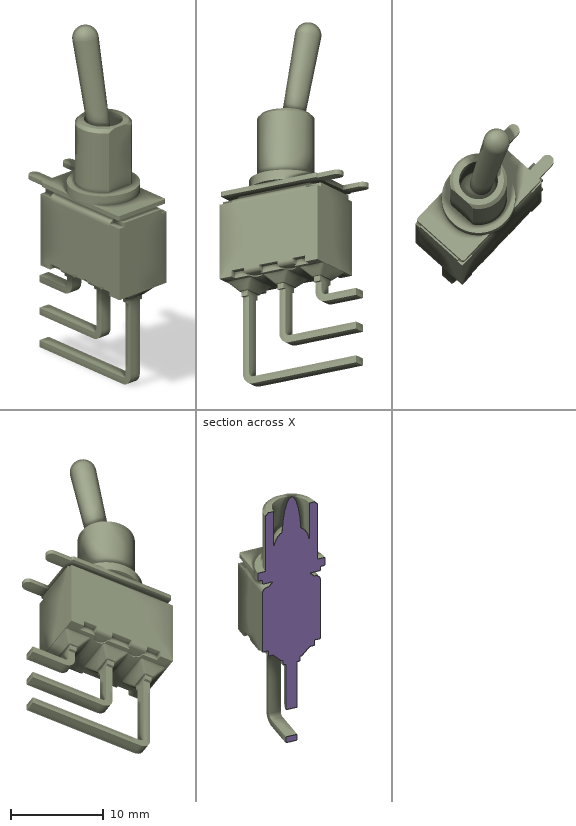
import cadquery as cq
import math


body_length = 12.65
body_width = 6.95
body_height = 8.95
strap_length = 9.55
strap_thickness = 0.72
strap_bottom = 0.7
end_step_height = 0.5
core_width = body_width - 2 * strap_thickness

tab_offset = 2.15
tab_width = 1.95
tab_bottom = 0.12
tab_bend_radius = 0.45
notch_diameter = 1.65

neck_radius = 5.5
neck_width = 5.35
neck_height = 0.45

plate_length = 12.42
plate_thickness = 0.52
plate_corner_radius = 0.25
prong_tip_x = -8.95
prong_width = 1.35
prong_offset = 2.52

flange_diameter = 7.97
flange_height = 1.1
bushing_diameter = 6.2
bushing_height = 7.4
bushing_chamfer = 0.35
bushing_flat_x = 2.65
bore_diameter = 4.2

lever_angle = 12.2
lever_tip_radius = 1.45
lever_root_radius = 1.15
pivot_z = 13.7
top_z = 28.5

terminal_count = 3
terminal_pitch = 4.7
terminal_thickness = 0.8
terminal_width = 1.35
terminal_end_x = -9.55
first_leg_z = -3.5
leg_pitch = 3.85
bend_inner_radius = 0.5
bend_outer_radius = bend_inner_radius + terminal_thickness
seal_length = 3.13
seal_width = 4.35
seal_height = 0.95
seal_corner_radius = 0.32
collar_width = 2.05
collar_bottom = -1.55

plate_bottom = body_height + neck_height
plate_top = plate_bottom + plate_thickness
flange_top = plate_top + flange_height
bushing_top = flange_top + bushing_height

diagonal = math.sqrt(0.5)


def block(length, width, bottom, top, x=0.0, y=0.0):
    """Box centred on (x, y) between two heights."""
    return (
        cq.Workplane("XY", origin=(x, y, bottom))
        .rect(length, width)
        .extrude(top - bottom)
    )


def make_body():
    core = block(body_length, core_width, 0, body_height)
    ends = block(body_length, body_width, 0, body_height - end_step_height)
    ends = ends.cut(block(strap_length, body_width, 0, body_height))
    strap = block(strap_length, body_width, strap_bottom, body_height)
    strap = strap.edges("|X and >Z").fillet(strap_thickness)

    for x in (-tab_offset, tab_offset):
        for side in (-1, 1):
            notch = (
                cq.Workplane("XY")
                .center(x, side * core_width / 2)
                .circle(notch_diameter / 2)
                .extrude(strap_bottom)
            )
            core = core.cut(notch)
        tab = block(tab_width, body_width, tab_bottom, strap_bottom, x)
        tab = tab.edges("|X and <Z").fillet(tab_bend_radius)
        strap = strap.union(tab)
    return core.union(ends).union(strap)


def make_neck():
    cone = (
        cq.Workplane("XY", origin=(0, 0, body_height))
        .circle(neck_radius)
        .workplane(offset=neck_height)
        .circle(neck_radius - neck_height)
        .loft()
    )
    flanks = (
        cq.Workplane("YZ")
        .moveTo(-neck_width / 2, body_height)
        .lineTo(neck_width / 2, body_height)
        .lineTo(neck_width / 2 - neck_height, plate_bottom)
        .lineTo(-neck_width / 2 + neck_height, plate_bottom)
        .close()
        .extrude(neck_radius, both=True)
    )
    return cone.intersect(flanks)


def make_plate():
    plate = block(plate_length, body_width, plate_bottom, plate_top)
    plate = plate.edges("|Z").fillet(plate_corner_radius)
    tip_radius = prong_width / 2
    for y in (-prong_offset, prong_offset):
        prong = (
            cq.Workplane("XY", origin=(0, y, plate_bottom))
            .moveTo(0, -tip_radius)
            .lineTo(prong_tip_x + tip_radius, -tip_radius)
            .threePointArc((prong_tip_x, 0), (prong_tip_x + tip_radius, tip_radius))
            .lineTo(0, tip_radius)
            .close()
            .extrude(plate_thickness)
        )
        plate = plate.union(prong)
    return plate


def make_bushing():
    flange = (
        cq.Workplane("XY", origin=(0, 0, plate_top))
        .circle(flange_diameter / 2)
        .extrude(flange_height)
    )
    barrel = (
        cq.Workplane("XY", origin=(0, 0, flange_top))
        .circle(bushing_diameter / 2)
        .extrude(bushing_height)
        .faces(">Z")
        .chamfer(bushing_chamfer)
    )
    cutter_length = bushing_diameter / 2
    flat_cut = block(
        cutter_length, bushing_diameter, flange_top, bushing_top, bushing_flat_x + cutter_length / 2
    )
    bore = (
        cq.Workplane("XY", origin=(0, 0, pivot_z))
        .circle(bore_diameter / 2)
        .extrude(bushing_top - pivot_z)
    )
    return flange.union(barrel.cut(flat_cut)).cut(bore)


def make_lever():
    """Tapered, round-tipped rod on a pivot ball that closes the bore."""
    tip_centre = (top_z - lever_tip_radius - pivot_z) / math.cos(math.radians(lever_angle))
    rod = (
        cq.Workplane("XZ")
        .lineTo(lever_root_radius, 0)
        .lineTo(lever_tip_radius, tip_centre)
        .threePointArc(
            (lever_tip_radius * diagonal, tip_centre + lever_tip_radius * diagonal),
            (0, tip_centre + lever_tip_radius),
        )
        .close()
        .revolve(360, (0, 0, 0), (0, 1, 0))
    )
    rod = rod.rotate((0, 0, 0), (0, 1, 0), -lever_angle)
    ball = cq.Workplane("XY").sphere(bore_diameter / 2)
    return rod.union(ball).translate((0, 0, pivot_z))


def make_terminal(x, leg_z):
    """Seal, collar and L-shaped pin that turns towards -X at height leg_z."""
    seal = (
        cq.Workplane("XY")
        .rect(seal_length, seal_width)
        .workplane(offset=-seal_height)
        .rect(seal_length - 2 * seal_height, seal_width - 2 * seal_height)
        .loft()
        .edges("not #Z")
        .fillet(seal_corner_radius)
        .translate((x, 0, 0))
    )
    collar = block(terminal_thickness, collar_width, collar_bottom, -seal_height, x)

    half = terminal_thickness / 2
    bend_x = x - half - bend_inner_radius
    bend_z = leg_z + half + bend_inner_radius
    pin = (
        cq.Workplane("XZ")
        .moveTo(x - half, collar_bottom)
        .lineTo(x - half, bend_z)
        .threePointArc(
            (bend_x + bend_inner_radius * diagonal, bend_z - bend_inner_radius * diagonal),
            (bend_x, leg_z + half),
        )
        .lineTo(terminal_end_x, leg_z + half)
        .lineTo(terminal_end_x, leg_z - half)
        .lineTo(bend_x, leg_z - half)
        .threePointArc(
            (bend_x + bend_outer_radius * diagonal, bend_z - bend_outer_radius * diagonal),
            (x + half, bend_z),
        )
        .lineTo(x + half, collar_bottom)
        .close()
        .extrude(terminal_width / 2, both=True)
    )
    return seal.union(collar).union(pin)


result = make_body().union(make_neck()).union(make_plate())
result = result.union(make_bushing()).union(make_lever())
for index in range(terminal_count):
    terminal_x = (index - (terminal_count - 1) / 2) * terminal_pitch
    result = result.union(make_terminal(terminal_x, first_leg_z - index * leg_pitch))